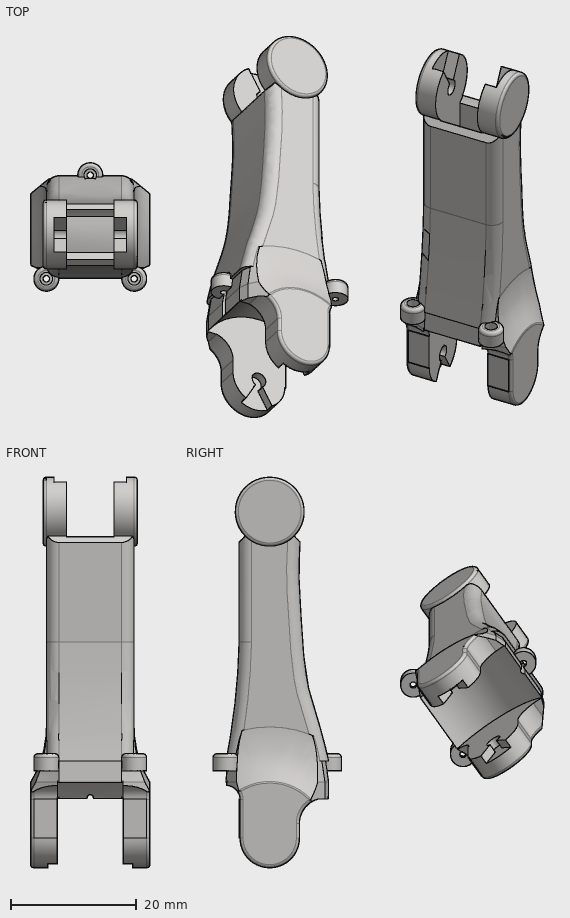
import cadquery as cq
import math

PIVOT_SPACING = 52.0
EDGE_ROUND = 0.5

LEG_OUTER_X = 9.5
LEG_INNER_X = 5.25
LEG_RADIUS = 4.75
LEG_PAD_THICKNESS = 0.15
LEG_PAD_TOP_Z = 6.2
LEG_SOCKET_DEPTH = 1.5

DISC_OUTER_X = 7.5
DISC_INNER_X = 3.75
DISC_RADIUS = 5.5
DISC_SOCKET_DEPTH = 2.0

SOCKET_HOLE_DIAMETER = 2.5
SOCKET_HALF_ANGLE = math.radians(30)

WALL = 2.0
SHAFT_HALF_X = 7.0
SHAFT_HALF_Y = 4.9
SHAFT_TOP_Z = 48.1
SHAFT_TOP_CHAMFER = 1.0
SHAFT_EDGE_RADIUS = 2.0
DISC_CLEARANCE_RADIUS = 5.6
KNUCKLE_CLEARANCE_RADIUS = 11.3

FRONT_CURVE_TOP_Z = 31.2
FRONT_CURVE_MIDDLE = (-5.55, 21.5)
FRONT_WALL_Y = -7.0
FRONT_CURVE_END_Z = 12.3
FRONT_FOOT_Z = 8.4
BACK_CURVE = [(8.05, 17.6), (6.2, 23.9), (5.1, 34.0), (4.7, 41.0)]
BACK_END_DIRECTIONS = [(-0.2, 1), (0.05, 1)]
BACK_WALL_Y = 9.4
BACK_CURVE_END_Z = 12.2
BACK_FOOT_Z = 6.2
BACK_FOOT_Y = 7.75
BACK_NOTCH_RADIUS = 4.0
BACK_LEG_TOP_Z = 2.3

FLARE_INNER_RADIUS = 8.9
FLARE_OUTER_RADIUS = 17.7
FLARE_CORNER_X = 5.0
FLARE_SHAFT_BACK_Y = 8.1
FLARE_SHAFT_FRONT_Y = -6.2
FLARE_BACK_CORNER_Y = 6.5
FLARE_BACK_BEVEL = (6.7, 8.8)
FLARE_FRONT_CORNER_Y = -4.9

EYELET_DIAMETER = 4.0
EYELET_BORE_DIAMETER = 2.0
EYELET_HOLE_DIAMETER = 1.0
EYELET_BASE_Z = 10.7
EYELET_HEIGHT = 2.75
EYELET_ROUND = 0.65
EYELET_FLOOR = 0.75
FRONT_EYELET_X = 7.0
FRONT_EYELET_Y = -7.05
BACK_EYELET_Y = 9.45


def x_cylinder(radius, x_start, x_end, z_axis):
    """Cylinder along X about an axis at y = 0."""
    return cq.Workplane("YZ", origin=(x_start, 0, z_axis)).circle(radius).extrude(x_end - x_start)


def x_block(half_x, y_start, y_end, z_start, z_end):
    """Block centred on x = 0."""
    return cq.Workplane("XY").box(
        2 * half_x, y_end - y_start, z_end - z_start, centered=(True, False, False)
    ).translate((0, y_start, z_start))


def side_outline(half_x):
    """The side outline of shaft, flare and legs, extruded evenly to both sides."""
    front_notch_radius = -LEG_RADIUS - FRONT_WALL_Y
    return (
        cq.Workplane("YZ", origin=(-half_x, 0, 0))
        .moveTo(-LEG_RADIUS, 0)
        .threePointArc((0, -LEG_RADIUS), (LEG_RADIUS, 0))
        .lineTo(LEG_RADIUS, BACK_LEG_TOP_Z)
        .radiusArc((BACK_FOOT_Y, BACK_FOOT_Z), BACK_NOTCH_RADIUS)
        .lineTo(BACK_WALL_Y, BACK_FOOT_Z)
        .lineTo(BACK_WALL_Y, BACK_CURVE_END_Z)
        .spline(BACK_CURVE + [(SHAFT_HALF_Y, SHAFT_TOP_Z)], tangents=BACK_END_DIRECTIONS, includeCurrent=True)
        .lineTo(-SHAFT_HALF_Y, SHAFT_TOP_Z)
        .lineTo(-SHAFT_HALF_Y, FRONT_CURVE_TOP_Z)
        .threePointArc(FRONT_CURVE_MIDDLE, (FRONT_WALL_Y, FRONT_CURVE_END_Z))
        .lineTo(FRONT_WALL_Y, FRONT_FOOT_Z)
        .radiusArc((-LEG_RADIUS, FRONT_FOOT_Z - front_notch_radius), front_notch_radius)
        .close()
        .extrude(2 * half_x)
    )


def make_shaft():
    """Upright shaft with rounded long edges and a bevelled front and back rim at its top."""
    length_box = x_block(SHAFT_HALF_X, FRONT_WALL_Y, BACK_WALL_Y, FRONT_CURVE_END_Z, SHAFT_TOP_Z)
    shaft = side_outline(SHAFT_HALF_X).intersect(length_box)
    long_edges = shaft.faces("<X or >X").edges("not(|Y)")
    shaft = long_edges.fillet(SHAFT_EDGE_RADIUS)
    bevel_start_z = SHAFT_TOP_Z - SHAFT_TOP_CHAMFER
    for side in (-1, 1):
        bevel = (
            cq.Workplane("YZ", origin=(-SHAFT_HALF_X, 0, 0))
            .moveTo(side * SHAFT_HALF_Y, bevel_start_z)
            .line(0, SHAFT_TOP_CHAMFER)
            .line(-side * SHAFT_TOP_CHAMFER, 0)
            .close()
            .extrude(2 * SHAFT_HALF_X)
        )
        shaft = shaft.cut(bevel)
    return shaft


def make_flare():
    """Legs and the bell-shaped flare that blends them into the shaft."""
    spread = LEG_OUTER_X - SHAFT_HALF_X
    drop = FLARE_OUTER_RADIUS - FLARE_INNER_RADIUS
    curve_radius = (spread**2 + drop**2) / (2 * spread)
    bell_half = (
        cq.Workplane("XY")
        .lineTo(LEG_OUTER_X, 0)
        .lineTo(LEG_OUTER_X, FLARE_INNER_RADIUS)
        .radiusArc((SHAFT_HALF_X, FLARE_OUTER_RADIUS), curve_radius)
        .lineTo(0, FLARE_OUTER_RADIUS)
        .close()
        .revolve(360, (0, 0, 0), (1, 0, 0))
        .faces(">X")
        .edges()
        .fillet(EDGE_ROUND)
    )
    bell = bell_half.union(bell_half.mirror("YZ"))
    blank = side_outline(LEG_OUTER_X)
    blank = blank.faces("<X or >X").edges().fillet(EDGE_ROUND)
    return blank.intersect(bell).intersect(flare_corners())


def mirrored_outline(right_points):
    """Close a right-hand half outline with its mirror image."""
    left_points = [(-x, y) for x, y in reversed(right_points)]
    return right_points + left_points


def flare_corners():
    """Tapering envelope that bevels the corners of the flare, twice at the back."""
    low = mirrored_outline([
        (FLARE_CORNER_X, FRONT_WALL_Y),
        (LEG_OUTER_X, FLARE_FRONT_CORNER_Y),
        (LEG_OUTER_X, FLARE_BACK_CORNER_Y),
        FLARE_BACK_BEVEL,
        (FLARE_CORNER_X, BACK_WALL_Y),
    ])
    rounding_inset = SHAFT_EDGE_RADIUS * (1 - math.sqrt(0.5))
    high = mirrored_outline([
        (FLARE_CORNER_X, FLARE_SHAFT_FRONT_Y),
        (SHAFT_HALF_X, FLARE_SHAFT_FRONT_Y + SHAFT_EDGE_RADIUS),
        (SHAFT_HALF_X, FLARE_SHAFT_BACK_Y - SHAFT_EDGE_RADIUS),
        (SHAFT_HALF_X - rounding_inset, FLARE_SHAFT_BACK_Y - rounding_inset),
        (FLARE_CORNER_X, FLARE_SHAFT_BACK_Y),
    ])
    straight = cq.Workplane("XY", origin=(0, 0, -LEG_RADIUS)).polyline(low).close().extrude(
        LEG_RADIUS + FLARE_INNER_RADIUS
    )
    taper = (
        cq.Workplane("XY", origin=(0, 0, FLARE_INNER_RADIUS))
        .polyline(low)
        .close()
        .workplane(offset=FLARE_OUTER_RADIUS - FLARE_INNER_RADIUS)
        .polyline(high)
        .close()
        .loft(ruled=True)
    )
    return straight.union(taper)


def make_disc(side):
    """Upper fork disc with its outer rim rounded."""
    disc = x_cylinder(DISC_RADIUS, DISC_INNER_X, DISC_OUTER_X, PIVOT_SPACING).faces(">X").edges().fillet(EDGE_ROUND)
    return disc if side > 0 else disc.mirror("YZ")


def socket(radius, x_inner, depth, side, direction, z_axis):
    """Round pivot hole with a wedge-shaped entry that opens towards `direction` along Z."""
    reach = 2 * radius
    half_width = reach * math.tan(SOCKET_HALF_ANGLE)
    x_start = x_inner if side > 0 else -x_inner - depth
    hole = x_cylinder(SOCKET_HOLE_DIAMETER / 2, x_start, x_start + depth, z_axis)
    entry = (
        cq.Workplane("YZ", origin=(x_start, 0, z_axis))
        .lineTo(half_width, direction * reach)
        .lineTo(-half_width, direction * reach)
        .close()
        .extrude(depth)
    )
    return hole.union(entry)


def eyelet_post(x, y):
    """Solid eyelet blank with a rounded top rim."""
    base = cq.Workplane("XY", origin=(x, y, EYELET_BASE_Z))
    return base.circle(EYELET_DIAMETER / 2).extrude(EYELET_HEIGHT).faces(">Z").edges().fillet(EYELET_ROUND)


def make_eyelet(x, y):
    """Eyelet with a wide bore above a narrow through hole."""
    return eyelet_post(x, y).cut(eyelet_bore(x, y)).cut(eyelet_hole(x, y))


def eyelet_bore(x, y):
    floor = cq.Workplane("XY", origin=(x, y, EYELET_BASE_Z + EYELET_FLOOR))
    return floor.circle(EYELET_BORE_DIAMETER / 2).extrude(EYELET_HEIGHT)


def eyelet_hole(x, y):
    start = cq.Workplane("XY", origin=(x, y, 0))
    return start.circle(EYELET_HOLE_DIAMETER / 2).extrude(EYELET_BASE_Z + EYELET_HEIGHT)


def make_link():
    """Link body with both forks, its hollow shaft and the back eyelet."""
    link = make_flare()
    pads = x_block(LEG_OUTER_X - EDGE_ROUND, -LEG_RADIUS - LEG_PAD_THICKNESS, 0, 0, LEG_PAD_TOP_Z)
    link = link.union(pads).union(make_shaft())

    knuckle_clearance = x_cylinder(KNUCKLE_CLEARANCE_RADIUS, -LEG_INNER_X, LEG_INNER_X, 0)
    link = link.cut(knuckle_clearance)
    hollow = x_block(DISC_INNER_X, WALL - SHAFT_HALF_Y, SHAFT_HALF_Y - WALL, 0, SHAFT_TOP_Z)
    hollow = hollow.cut(x_cylinder(KNUCKLE_CLEARANCE_RADIUS + WALL, -LEG_INNER_X, LEG_INNER_X, 0))
    link = link.cut(hollow)
    for side in (-1, 1):
        link = link.union(make_disc(side))
    link = link.cut(x_cylinder(DISC_CLEARANCE_RADIUS, -DISC_INNER_X, DISC_INNER_X, PIVOT_SPACING))

    for side in (-1, 1):
        link = link.cut(socket(DISC_RADIUS, DISC_INNER_X, DISC_SOCKET_DEPTH, side, 1, PIVOT_SPACING))
        link = link.cut(socket(LEG_RADIUS, LEG_INNER_X, LEG_SOCKET_DEPTH, side, -1, 0))

    link = link.union(make_eyelet(0, BACK_EYELET_Y))
    link = link.cut(eyelet_bore(0, BACK_EYELET_Y)).cut(eyelet_hole(0, BACK_EYELET_Y))
    return link


front_eyelets = [make_eyelet(side * FRONT_EYELET_X, FRONT_EYELET_Y) for side in (-1, 1)]
link = make_link()
for side in (-1, 1):
    link = link.cut(eyelet_post(side * FRONT_EYELET_X, FRONT_EYELET_Y))

result = cq.Compound.makeCompound([*link.vals(), *[eyelet.val() for eyelet in front_eyelets]])